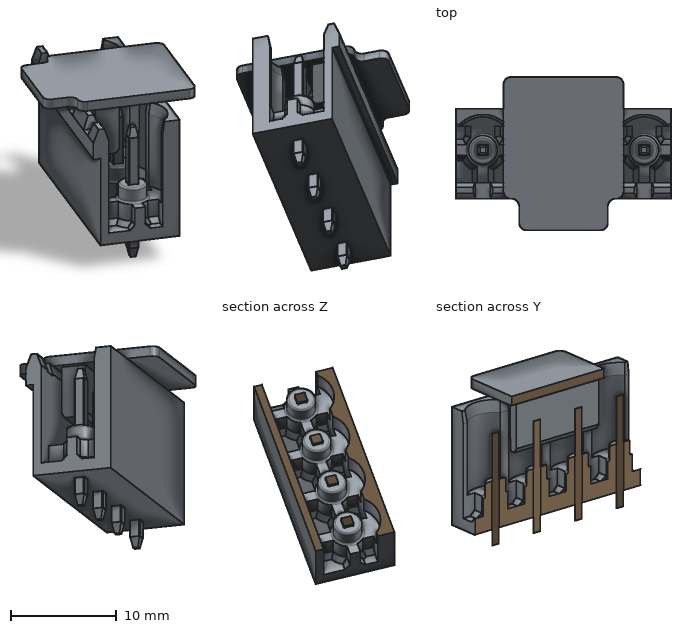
import cadquery as cq


PIN_COUNT = 4
PITCH = 5.08
LENGTH = PIN_COUNT * PITCH
PIN_PLACES = [(i - (PIN_COUNT - 1) / 2) * PITCH for i in range(PIN_COUNT)]

PIN_WIDTH = 1.04
PIN_EDGE_CHAMFER = 0.1
PIN_TOP = 10.77
PIN_BOTTOM = -2.62
TIP_HEIGHT = 1.02
TIP_BASE_WIDTH = PIN_WIDTH - PIN_EDGE_CHAMFER
TIP_END_WIDTH = 0.5

HEIGHT = 11.99
FLOOR_Z = 1.18
BACK_OUTER_Y = 3.9
BACK_INNER_Y = 2.24
FRONT_INNER_Y = -3.09
FRONT_OUTER_Y = -3.9
BACK_LEAD_IN = 0.18
LEAD_IN_Z = 10.81
HOOK_FRONT_Y = -4.61
HOOK_BOTTOM_Z = 8.96
HOOK_BEVEL_Z = 10.65
CREST_FRONT_Y = -4.1
CREST_INNER_Y = -3.54

NOTCH_TOP_WIDTH = 1.83
NOTCH_BOTTOM_WIDTH = 1.4

SCALLOP_RADIUS = 2.76
SCALLOP_CENTRE_Y = 0.37
SCALLOP_FLARE = 0.22

RIB_TOP_Z = 3.41
SLIM_RIB_HALF = 0.5
WIDE_RIB_HALF = 1.14
BASE_CHAMFER = 0.5
POST_RADIUS = 1.63
COLLAR_TOP_Z = 4.95
COLLAR_RADIUS = 1.36
COLLAR_TOP_ROUND = 0.2
COLLAR_FOOT_ROUND = 0.22

CAP_THICKNESS = 0.98
CAP_WIDTH = 11.35
CAP_BACK_Y = 6.9
CAP_FRONT_Y = -7.6
TAB_WIDTH = 8.4
CAP_CORNER = 0.73
LEG_LENGTH_X = 10.08
LEG_BOTTOM_Z = 7.0
LEG_CHAMFER_Y = 0.3
LEG_CHAMFER_Z = 0.49
FRONT_LEG_FRONT_Y = -2.9
BACK_LEG_BACK_Y = 1.48
BACK_LEG_TAPER = 0.1


def along_x(points, length):
    """Extrude a (y, z) outline along X, centred on X = 0."""
    return cq.Workplane("YZ").polyline(points).close().extrude(length / 2, both=True)


def tip(z_base, z_end):
    """Four-sided tapered pin tip from z_base to its blunt end."""
    return (
        cq.Workplane("XY", origin=(0, 0, z_base))
        .rect(TIP_BASE_WIDTH, TIP_BASE_WIDTH)
        .workplane(offset=z_end - z_base)
        .rect(TIP_END_WIDTH, TIP_END_WIDTH)
        .loft(ruled=True)
    )


def pin(x):
    """Square pin with chamfered long edges and a tapered tip at each end."""
    shank_bottom = PIN_BOTTOM + TIP_HEIGHT
    shank_top = PIN_TOP - TIP_HEIGHT
    shank = (
        cq.Workplane("XY", origin=(0, 0, shank_bottom))
        .rect(PIN_WIDTH, PIN_WIDTH)
        .extrude(shank_top - shank_bottom)
        .edges("|Z")
        .chamfer(PIN_EDGE_CHAMFER)
    )
    shape = shank.union(tip(shank_bottom, PIN_BOTTOM)).union(tip(shank_top, PIN_TOP))
    return shape.translate((x, 0, 0))


def channel():
    """U-shaped housing section with the hook along the front wall's crest."""
    return along_x(
        [
            (BACK_OUTER_Y, 0),
            (BACK_OUTER_Y, HEIGHT),
            (BACK_INNER_Y + BACK_LEAD_IN, HEIGHT),
            (BACK_INNER_Y, LEAD_IN_Z),
            (BACK_INNER_Y, FLOOR_Z),
            (FRONT_INNER_Y, FLOOR_Z),
            (FRONT_INNER_Y, LEAD_IN_Z),
            (CREST_INNER_Y, HEIGHT),
            (CREST_FRONT_Y, HEIGHT),
            (HOOK_FRONT_Y, HOOK_BEVEL_Z),
            (HOOK_FRONT_Y, HOOK_BOTTOM_Z),
            (FRONT_OUTER_Y, HOOK_BOTTOM_Z),
            (FRONT_OUTER_Y, 0),
        ],
        LENGTH,
    )


def notch(x):
    """Cutter for a dovetail-sided notch through the front wall's crest."""
    top_half = NOTCH_TOP_WIDTH / 2
    bottom_half = NOTCH_BOTTOM_WIDTH / 2
    return (
        cq.Workplane("XZ", origin=(x, FRONT_INNER_Y, 0))
        .polyline(
            [
                (-bottom_half, HOOK_BEVEL_Z),
                (bottom_half, HOOK_BEVEL_Z),
                (top_half, HEIGHT),
                (-top_half, HEIGHT),
            ]
        )
        .close()
        .extrude(FRONT_INNER_Y - HOOK_FRONT_Y)
    )


def scallop(x):
    """Cutter for the round recess in the back wall, flared at its mouth."""
    return (
        cq.Workplane("XZ")
        .polyline(
            [
                (0, RIB_TOP_Z),
                (SCALLOP_RADIUS, RIB_TOP_Z),
                (SCALLOP_RADIUS, LEAD_IN_Z),
                (SCALLOP_RADIUS + SCALLOP_FLARE, HEIGHT),
                (0, HEIGHT),
            ]
        )
        .close()
        .revolve(360, (0, 0, 0), (0, 1, 0))
        .translate((x, SCALLOP_CENTRE_Y, 0))
    )


def rib_outline(half_width):
    """Upright rib section whose foot spreads at 45 degrees onto the floor."""
    foot_half = half_width + BASE_CHAMFER
    foot_z = FLOOR_Z + BASE_CHAMFER
    return [
        (-foot_half, FLOOR_Z),
        (-half_width, foot_z),
        (-half_width, RIB_TOP_Z),
        (half_width, RIB_TOP_Z),
        (half_width, foot_z),
        (foot_half, FLOOR_Z),
    ]


def cross_rib(x, half_width, wall_y):
    """Rib from the pin's centre plane to the wall at wall_y."""
    return (
        cq.Workplane("XZ", origin=(x, 0, 0))
        .polyline(rib_outline(half_width))
        .close()
        .extrude(-wall_y)
    )


def post(x):
    """Round post with a spread foot, topped by a collar with rounded rim and foot."""
    outline = (
        cq.Workplane("XZ")
        .moveTo(0, FLOOR_Z)
        .lineTo(POST_RADIUS + BASE_CHAMFER, FLOOR_Z)
        .lineTo(POST_RADIUS, FLOOR_Z + BASE_CHAMFER)
        .lineTo(POST_RADIUS, RIB_TOP_Z)
        .lineTo(COLLAR_RADIUS + COLLAR_FOOT_ROUND, RIB_TOP_Z)
        .radiusArc((COLLAR_RADIUS, RIB_TOP_Z + COLLAR_FOOT_ROUND), COLLAR_FOOT_ROUND)
        .lineTo(COLLAR_RADIUS, COLLAR_TOP_Z - COLLAR_TOP_ROUND)
        .radiusArc((COLLAR_RADIUS - COLLAR_TOP_ROUND, COLLAR_TOP_Z), -COLLAR_TOP_ROUND)
        .lineTo(0, COLLAR_TOP_Z)
        .close()
    )
    return outline.revolve(360, (0, 0, 0), (0, 1, 0)).translate((x, 0, 0))


def make_housing(pins):
    """Housing with its pin supports, pierced by the pins."""
    body = channel()
    for x in PIN_PLACES:
        body = body.cut(notch(x)).cut(scallop(x))
    body = body.union(along_x(rib_outline(SLIM_RIB_HALF), LENGTH))
    for x in PIN_PLACES:
        body = body.union(cross_rib(x, WIDE_RIB_HALF, BACK_INNER_Y))
        body = body.union(cross_rib(x, SLIM_RIB_HALF, FRONT_INNER_Y))
        body = body.union(post(x))
    for each_pin in pins:
        body = body.cut(each_pin)
    return body


def cap_plate():
    """Flat plate with a narrower tab overhanging the front, all corners rounded."""
    half = CAP_WIDTH / 2
    tab_half = TAB_WIDTH / 2
    return (
        cq.Workplane("XY", origin=(0, 0, HEIGHT))
        .polyline(
            [
                (-half, CAP_BACK_Y),
                (half, CAP_BACK_Y),
                (half, HOOK_FRONT_Y),
                (tab_half, HOOK_FRONT_Y),
                (tab_half, CAP_FRONT_Y),
                (-tab_half, CAP_FRONT_Y),
                (-tab_half, HOOK_FRONT_Y),
                (-half, HOOK_FRONT_Y),
            ]
        )
        .close()
        .extrude(CAP_THICKNESS)
        .edges("|Z")
        .fillet(CAP_CORNER)
    )


def make_cap():
    """Cap plate with two long legs that grip the middle pins between them."""
    grip_y = PIN_WIDTH / 2
    chamfer_z = LEG_BOTTOM_Z + LEG_CHAMFER_Z
    front_leg = along_x(
        [
            (-grip_y, HEIGHT),
            (-grip_y, chamfer_z),
            (-grip_y - LEG_CHAMFER_Y, LEG_BOTTOM_Z),
            (FRONT_LEG_FRONT_Y + LEG_CHAMFER_Y, LEG_BOTTOM_Z),
            (FRONT_LEG_FRONT_Y, chamfer_z),
            (FRONT_LEG_FRONT_Y, HEIGHT),
        ],
        LEG_LENGTH_X,
    )
    back_leg = along_x(
        [
            (grip_y, HEIGHT),
            (grip_y, chamfer_z),
            (grip_y + LEG_CHAMFER_Y, LEG_BOTTOM_Z),
            (BACK_LEG_BACK_Y - BACK_LEG_TAPER, LEG_BOTTOM_Z),
            (BACK_LEG_BACK_Y, HEIGHT),
        ],
        LEG_LENGTH_X,
    )
    return cap_plate().union(front_leg).union(back_leg)


pins = [pin(x) for x in PIN_PLACES]
housing = make_housing(pins)
cap = make_cap()

result = cq.Compound.makeCompound([housing.val(), cap.val(), *[each_pin.val() for each_pin in pins]])